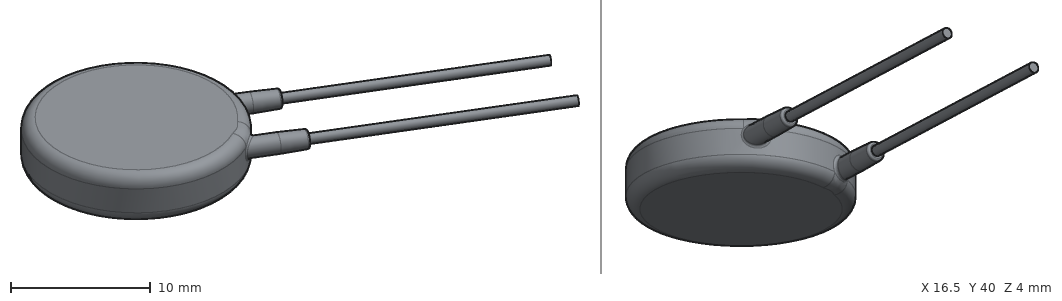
import cadquery as cq

disc_diameter = 16.5
disc_thickness = 4.0
disc_edge_radius = 1.0
disc_radius = disc_diameter / 2

overall_length = 40.0
lead_pitch = 7.5
lead_stagger = 1.0
wire_diameter = 0.8
wire_exposed_length = 20.0
wire_end_y = overall_length - disc_radius
lead_start_y = disc_radius / 2

sleeve_diameter = 1.6
sleeve_tip_diameter = 1.48
sleeve_tip_radius = 0.2
taper_length = 2.25
sleeve_end_y = wire_end_y - wire_exposed_length
taper_start_y = sleeve_end_y - taper_length
junction_radius = 0.2


def make_disc():
    """Flat round body with sharp rims."""
    return cq.Workplane("XY").circle(disc_radius).extrude(disc_thickness / 2, both=True)


def turned(outline):
    """Solid of revolution about the Y axis from a list of (radius, y) points."""
    return cq.Workplane("XY").polyline(outline).close().revolve(360, (0, 0, 0), (0, 1, 0))


def make_sleeve():
    """Tapered sleeve on the Y axis with a rounded tip."""
    sleeve = turned([
        (0, lead_start_y),
        (sleeve_diameter / 2, lead_start_y),
        (sleeve_diameter / 2, taper_start_y),
        (sleeve_tip_diameter / 2, sleeve_end_y),
        (0, sleeve_end_y),
    ])
    return sleeve.faces(">Y").edges().fillet(sleeve_tip_radius)


def make_wire():
    """Plain round wire on the Y axis."""
    return turned([
        (0, lead_start_y),
        (wire_diameter / 2, lead_start_y),
        (wire_diameter / 2, wire_end_y),
        (0, wire_end_y),
    ])


def make_lead(side):
    """Sleeved wire; side is -1 for the low lead at -X, +1 for the high lead at +X."""
    lead = make_sleeve().union(make_wire())
    return lead.translate((side * lead_pitch / 2, 0, side * lead_stagger / 2))


def blend_junctions(body):
    """Fillet the edges where the sleeves enter the side of the disc."""
    junction_zone = cq.selectors.BoxSelector(
        (-disc_radius, lead_start_y, -disc_thickness / 2),
        (disc_radius, disc_radius, disc_thickness / 2),
    )
    return body.edges(junction_zone).fillet(junction_radius)


def round_rims(body):
    """Round the top and bottom rims of the disc; they are the largest circles on the part."""
    rims = body.edges("%CIRCLE").edges(cq.selectors.RadiusNthSelector(-1))
    return rims.fillet(disc_edge_radius)


result = make_disc()
for side in (-1, 1):
    result = result.union(make_lead(side))
result = blend_junctions(result)
result = round_rims(result)